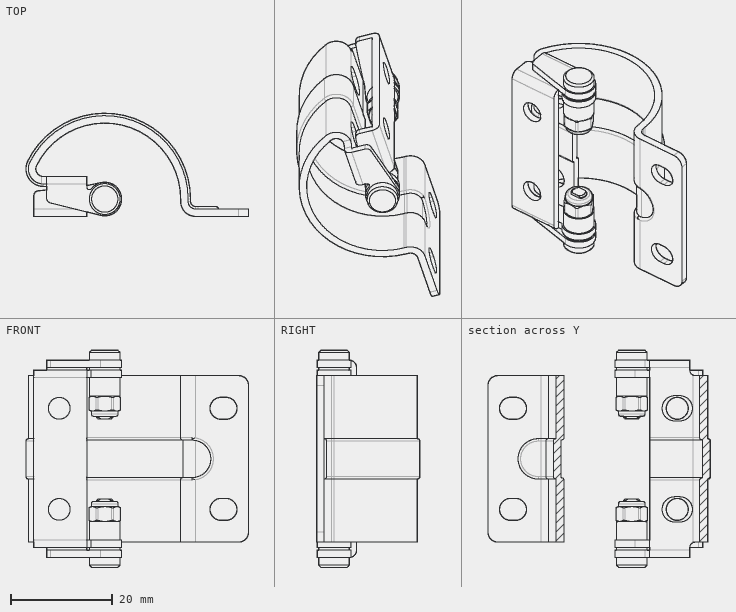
import cadquery as cq
import math


SHEET = 1.5
PIVOT_HEIGHT = 3.47
MOUNTING_Y = -PIVOT_HEIGHT
LEAF_END_X = -3.55
HOLE_X = -9.0
HOLE_Z = 10.0
LOBE_RADIUS = 3.35
BOLT_DIAMETER = 3.2
WASHER_THICKNESS = 0.5
BRACKET_HALF_HEIGHT = 17.55
EAR_BOTTOM_Z = BRACKET_HALF_HEIGHT + WASHER_THICKNESS
EAR_TOP_Z = EAR_BOTTOM_Z + SHEET

STRAP_HALF_HEIGHT = 16.5
ARC_RADIUS = 15.0
BEND_RADIUS = 1.5
LEAF_INNER_Y = 4.47
FLANGE_END_X = 28.48
FLANGE_CORNER_RADIUS = 2.0
FLANGE_SLOT_X = 23.5
FLANGE_SLOT = (5.3, 4.3)
LEAF_SLOT = (6.0, 5.0)

EAR_START_X = -11.5
EAR_SLOPE = math.radians(14)
EAR_CORNER_RADIUS = 1.0
EAR_ROOT_FILLET = 1.0
EAR_NOTCH_RADIUS = 0.5

BEAD_DEPTH = 0.5
RIDGE_HALF_WIDTH = 4.0
RIDGE_END_X = 18.5
GROOVE_HALF_WIDTH = 4.2
GROOVE_END_X = 17.3
ROUND_TOP = -1
ROUND_BASE = 1

BRACKET_START_X = -14.05
BRACKET_HOLE_DIAMETER = 4.3
BRACKET_EAR_SIDE_Y = 1.55
BRACKET_EAR_NEAR_Y = 2.68
BRACKET_EAR_CORNER_RADIUS = 1.0
BOLT_HEAD_DIAMETER = 6.1
BOLT_HEAD_TOP_Z = 21.5
BOLT_HEAD_CHAMFER = 0.45
SLEEVE_END_Z = 12.4
NUT_ACROSS_FLATS = 5.55
NUT_CORNER_FILLET = 0.5
NUT_BLANK_DIAMETER = 6.4
NUT_CROWN = (0.3, 0.45)
NUT_END_Z = 9.45
COLLAR_DIAMETER = 5.3
COLLAR_END_Z = 8.4
COLLAR_ROUND = 0.5
BOLT_TIP_Z = 7.9
BOLT_TIP_CHAMFER = 0.3
BOLT_TIP_FLATS = 2.15


def both_ends(upper):
    """Joins an upper-end feature with its mirror image at the lower end."""
    return upper.union(upper.mirror("XY"))


def polar(radius, angle):
    return (radius * math.cos(angle), radius * math.sin(angle))


CURL_Y = LEAF_INNER_Y + BEND_RADIUS
CURL_X = -math.sqrt((ARC_RADIUS - BEND_RADIUS) ** 2 - CURL_Y**2)
CURL_ANGLE = math.atan2(CURL_Y, CURL_X)
BEND_X = ARC_RADIUS + SHEET + BEND_RADIUS
BEND_Y = MOUNTING_Y + SHEET + BEND_RADIUS


def strap_path(depth, end_x):
    """Strap outline at a given depth in the sheet, from the leaf edge to the flange."""
    curl = BEND_RADIUS + depth
    arc = ARC_RADIUS + depth
    bend = BEND_RADIUS + SHEET - depth
    curl_mid_angle = (CURL_ANGLE + 1.5 * math.pi) / 2
    curl_mid = polar(curl, curl_mid_angle)
    bend_mid = polar(bend, math.radians(225))
    return (
        cq.Workplane("XY")
        .moveTo(LEAF_END_X, CURL_Y - curl)
        .lineTo(CURL_X, CURL_Y - curl)
        .threePointArc((CURL_X + curl_mid[0], CURL_Y + curl_mid[1]), polar(arc, CURL_ANGLE))
        .threePointArc(polar(arc, CURL_ANGLE / 2), (arc, 0))
        .lineTo(arc, BEND_Y)
        .threePointArc((BEND_X + bend_mid[0], BEND_Y + bend_mid[1]), (BEND_X, BEND_Y - bend))
        .lineTo(end_x, BEND_Y - bend)
    )


def section_sketch():
    """Workplane across the strap at the leaf edge: x is the depth in the sheet, y is Z."""
    origin = (LEAF_END_X, LEAF_INNER_Y, 0)
    return cq.Workplane(cq.Plane(origin=origin, xDir=(0, -1, 0), normal=(-1, 0, 0)))


def follow_strap(section):
    return section.sweep(strap_path(0, FLANGE_END_X))


def bead(half_width, base_depth, end_x, rounding):
    """Bead rising from base_depth, with a round end on the flange.

    rounding is ROUND_TOP or ROUND_BASE.
    """
    root = base_depth - BEAD_DEPTH
    top = base_depth + BEAD_DEPTH
    top_half_width = half_width - BEAD_DEPTH
    radius = rounding * BEAD_DEPTH
    section = (
        section_sketch()
        .moveTo(root, -half_width)
        .lineTo(base_depth, -half_width)
        .radiusArc((top, -top_half_width), radius)
        .lineTo(top, top_half_width)
        .radiusArc((base_depth, half_width), radius)
        .lineTo(root, half_width)
        .close()
    )
    band = follow_strap(section)
    base_y = MOUNTING_Y + base_depth
    top_y = MOUNTING_Y + top
    cover_y = top_y + BEAD_DEPTH
    round_end = (
        cq.Workplane("XY")
        .moveTo(end_x, MOUNTING_Y + root)
        .lineTo(end_x + half_width, MOUNTING_Y + root)
        .lineTo(end_x + half_width, base_y)
        .radiusArc((end_x + top_half_width, top_y), radius)
        .lineTo(end_x + top_half_width, cover_y)
        .lineTo(end_x, cover_y)
        .close()
        .revolve(360, (end_x, 0, 0), (end_x, 1, 0))
    )
    reach = 4 * ARC_RADIUS
    straight = cq.Workplane("XY").box(reach, reach, reach).translate((end_x - reach / 2, 0, 0))
    return band.intersect(straight).union(band.intersect(round_end))


def slots(center_x, size):
    """Upper and lower slots through the strap's flat ends."""
    return (
        cq.Workplane("XZ")
        .pushPoints([(center_x, HOLE_Z), (center_x, -HOLE_Z)])
        .slot2D(*size)
        .extrude(ARC_RADIUS / 2, both=True)
    )


def strap_ear():
    """Upper ear: the leaf continues upward and folds over toward the pivot."""
    fold_y = LEAF_INNER_Y - SHEET
    bottom_angle = -math.pi / 2 - EAR_SLOPE
    tangent_x, tangent_y = polar(LOBE_RADIUS, bottom_angle)
    corner_y = tangent_y + (tangent_x - EAR_START_X) * math.tan(EAR_SLOPE)
    notch_x = LEAF_END_X + EAR_NOTCH_RADIUS
    notch_y = math.sqrt((LOBE_RADIUS + EAR_NOTCH_RADIUS) ** 2 - notch_x**2)
    lobe_start = polar(LOBE_RADIUS, math.atan2(notch_y, notch_x))
    plate = (
        cq.Workplane("XY")
        .workplane(offset=EAR_BOTTOM_Z)
        .moveTo(EAR_START_X, fold_y)
        .lineTo(EAR_START_X, corner_y)
        .lineTo(tangent_x, tangent_y)
        .threePointArc((LOBE_RADIUS, 0), lobe_start)
        .threePointArc((notch_x, notch_y - EAR_NOTCH_RADIUS), (LEAF_END_X, notch_y))
        .lineTo(LEAF_END_X, fold_y)
        .close()
        .extrude(SHEET)
        .edges(cq.selectors.NearestToPointSelector((EAR_START_X, corner_y, EAR_BOTTOM_Z + SHEET / 2)))
        .fillet(EAR_CORNER_RADIUS)
    )
    fold = (
        cq.Workplane("YZ")
        .workplane(offset=EAR_START_X)
        .moveTo(LEAF_INNER_Y, STRAP_HALF_HEIGHT)
        .lineTo(LEAF_INNER_Y, EAR_BOTTOM_Z)
        .radiusArc((fold_y, EAR_TOP_Z), -SHEET)
        .lineTo(fold_y, STRAP_HALF_HEIGHT)
        .close()
        .extrude(LEAF_END_X - EAR_START_X)
    )
    root_fillet = (
        cq.Workplane("XZ")
        .workplane(offset=-LEAF_INNER_Y)
        .moveTo(EAR_START_X, STRAP_HALF_HEIGHT)
        .lineTo(EAR_START_X, STRAP_HALF_HEIGHT + EAR_ROOT_FILLET)
        .radiusArc((EAR_START_X - EAR_ROOT_FILLET, STRAP_HALF_HEIGHT), EAR_ROOT_FILLET)
        .close()
        .extrude(SHEET)
    )
    bolt_hole = cq.Workplane("XY").circle(BOLT_DIAMETER / 2).extrude(BOLT_HEAD_TOP_Z)
    return plate.union(fold).union(root_fillet).cut(bolt_hole)


def make_strap():
    sheet = section_sketch().center(SHEET / 2, 0).rect(SHEET, 2 * STRAP_HALF_HEIGHT)
    strap = follow_strap(sheet)
    strap = strap.edges("|Y and >X").fillet(FLANGE_CORNER_RADIUS)
    strap = strap.union(bead(RIDGE_HALF_WIDTH, SHEET, RIDGE_END_X, ROUND_TOP))
    strap = strap.cut(bead(GROOVE_HALF_WIDTH, 0, GROOVE_END_X, ROUND_BASE))
    strap = strap.union(both_ends(strap_ear()))
    return strap.cut(slots(HOLE_X, LEAF_SLOT)).cut(slots(FLANGE_SLOT_X, FLANGE_SLOT))


def bracket_plate():
    return (
        cq.Workplane("XY")
        .box(LEAF_END_X - BRACKET_START_X, SHEET, 2 * BRACKET_HALF_HEIGHT, centered=False)
        .translate((BRACKET_START_X, MOUNTING_Y, -BRACKET_HALF_HEIGHT))
        .cut(
            cq.Workplane("XZ")
            .pushPoints([(HOLE_X, HOLE_Z), (HOLE_X, -HOLE_Z)])
            .circle(BRACKET_HOLE_DIAMETER / 2)
            .extrude(2 * PIVOT_HEIGHT)
        )
    )


def bracket_ear():
    """Upper ear: its top edge rises to a knee and then runs tangent to the pivot lobe."""
    inner_y = MOUNTING_Y + SHEET
    knee_distance = math.hypot(LEAF_END_X, BRACKET_EAR_NEAR_Y)
    knee_angle = math.atan2(BRACKET_EAR_NEAR_Y, LEAF_END_X)
    tangent = polar(LOBE_RADIUS, knee_angle - math.acos(LOBE_RADIUS / knee_distance))
    far_corner = (BRACKET_START_X, BRACKET_EAR_SIDE_Y, BRACKET_HALF_HEIGHT - SHEET / 2)
    lobe_end = (-math.sqrt(LOBE_RADIUS**2 - inner_y**2), inner_y)
    return (
        cq.Workplane("XY")
        .workplane(offset=BRACKET_HALF_HEIGHT - SHEET)
        .moveTo(BRACKET_START_X, MOUNTING_Y)
        .lineTo(BRACKET_START_X, BRACKET_EAR_SIDE_Y)
        .lineTo(LEAF_END_X, BRACKET_EAR_NEAR_Y)
        .lineTo(*tangent)
        .threePointArc((LOBE_RADIUS, 0), lobe_end)
        .lineTo(LEAF_END_X, inner_y)
        .lineTo(LEAF_END_X, MOUNTING_Y)
        .close()
        .extrude(SHEET)
        .edges(cq.selectors.NearestToPointSelector(far_corner))
        .fillet(BRACKET_EAR_CORNER_RADIUS)
    )


def cylinder(diameter, bottom_z, top_z):
    return cq.Workplane("XY").workplane(offset=bottom_z).circle(diameter / 2).extrude(top_z - bottom_z)


def bolt():
    """Upper bolt with its head, washer, sleeve and collared nut."""
    head = cylinder(BOLT_HEAD_DIAMETER, EAR_TOP_Z, BOLT_HEAD_TOP_Z).faces(">Z").chamfer(BOLT_HEAD_CHAMFER)
    shank = cylinder(BOLT_DIAMETER, COLLAR_END_Z, EAR_TOP_Z)
    tip_length = COLLAR_END_Z - BOLT_TIP_Z
    tip = cylinder(BOLT_DIAMETER, BOLT_TIP_Z, COLLAR_END_Z).faces("<Z").chamfer(BOLT_TIP_CHAMFER)
    tip_flats = cq.Workplane("XY").box(BOLT_DIAMETER, BOLT_TIP_FLATS, 2 * tip_length)
    tip = tip.intersect(tip_flats.translate((0, 0, COLLAR_END_Z)))
    washer = cylinder(BOLT_HEAD_DIAMETER, BRACKET_HALF_HEIGHT, EAR_BOTTOM_Z)
    sleeve = cylinder(BOLT_HEAD_DIAMETER, SLEEVE_END_Z, BRACKET_HALF_HEIGHT - SHEET)
    nut = (
        cq.Workplane("XY")
        .workplane(offset=NUT_END_Z)
        .polygon(6, NUT_ACROSS_FLATS / math.cos(math.pi / 6))
        .extrude(SLEEVE_END_Z - NUT_END_Z)
        .edges("|Z")
        .fillet(NUT_CORNER_FILLET)
    )
    nut_blank = cylinder(NUT_BLANK_DIAMETER, NUT_END_Z, SLEEVE_END_Z).edges("%CIRCLE").chamfer(*NUT_CROWN)
    nut = nut.intersect(nut_blank)
    collar = cylinder(COLLAR_DIAMETER, COLLAR_END_Z, NUT_END_Z).faces("<Z").edges().fillet(COLLAR_ROUND)
    return head.union(shank).union(tip).union(washer).union(sleeve).union(nut).union(collar)


def make_bracket():
    bracket = bracket_plate().union(both_ends(bracket_ear()))
    bracket = bracket.edges("|X and <Y").fillet(SHEET)
    return bracket.union(both_ends(bolt()))


strap = make_strap()
bracket = make_bracket()
result = cq.Compound.makeCompound([strap.val(), bracket.val()])